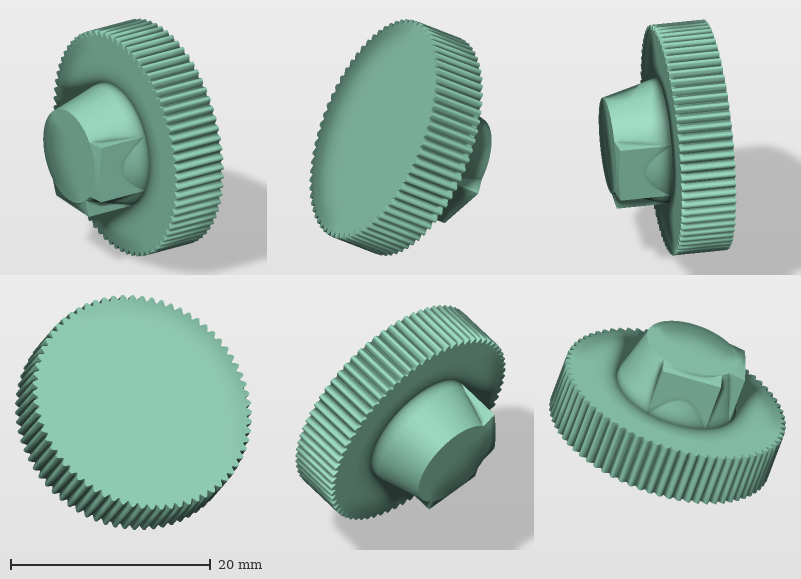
import cadquery as cq
import math

outer_radius = 11.6
root_radius = 11.06
disc_thickness = 5.5
tooth_count = 70
tooth_base_half_width = 0.45
tooth_tip_radius = 0.23

boss_length = disc_thickness
boss_base_radius = 6.33
boss_end_radius = 4.85
boss_hollow = 0.05

side_block_reach = 5.57
side_block_half_width = 3.0
lower_block_reach = 5.61
lower_block_half_width = 3.05
block_end_angle = math.radians(12)


def turned(x, y, angle):
    """Turn a point about the origin by an angle in radians."""
    return (
        x * math.cos(angle) - y * math.sin(angle),
        x * math.sin(angle) + y * math.cos(angle),
    )


def make_disc():
    """Disc whose rim carries straight-flanked teeth with round tips."""
    tip_centre = outer_radius - tooth_tip_radius
    base_height = math.sqrt(root_radius**2 - tooth_base_half_width**2)

    drop = tip_centre - base_height
    to_base = math.hypot(tooth_base_half_width, drop)
    touch_angle = math.acos(tooth_tip_radius / to_base) - math.atan2(drop, tooth_base_half_width)
    touch_x = tooth_tip_radius * math.cos(touch_angle)
    touch_y = tip_centre + tooth_tip_radius * math.sin(touch_angle)

    outline = cq.Workplane("XZ").moveTo(tooth_base_half_width, base_height)
    for tooth in range(tooth_count):
        angle = 2 * math.pi * tooth / tooth_count
        if tooth > 0:
            outline = outline.lineTo(*turned(tooth_base_half_width, base_height, angle))
        outline = outline.lineTo(*turned(touch_x, touch_y, angle))
        outline = outline.threePointArc(
            turned(0, outer_radius, angle), turned(-touch_x, touch_y, angle)
        )
        outline = outline.lineTo(*turned(-tooth_base_half_width, base_height, angle))
    return outline.close().extrude(-disc_thickness)


def make_boss():
    """Round boss with a slightly concave tapering wall."""
    middle_radius = (boss_base_radius + boss_end_radius) / 2 - boss_hollow
    return (
        cq.Workplane("XY")
        .lineTo(boss_base_radius, 0)
        .threePointArc((middle_radius, -boss_length / 2), (boss_end_radius, -boss_length))
        .lineTo(0, -boss_length)
        .close()
        .revolve(360, (0, 0), (0, 1))
    )


def make_side_block():
    """Block towards +X, its end a cone that starts at the rim of the boss end."""
    block = cq.Workplane("XZ").rect(side_block_reach, 2 * side_block_half_width)
    block = block.extrude(boss_length).translate((side_block_reach / 2, 0, 0))
    cone_drop = (boss_base_radius - boss_end_radius) * math.tan(block_end_angle)
    envelope = (
        cq.Workplane("XY")
        .lineTo(boss_base_radius, 0)
        .lineTo(boss_base_radius, cone_drop - boss_length)
        .lineTo(boss_end_radius, -boss_length)
        .lineTo(0, -boss_length)
        .close()
        .revolve(360, (0, 0), (0, 1))
    )
    return block.intersect(envelope)


def make_lower_block():
    """Block towards -Z, its end a plane that starts where its sides meet the boss rim."""
    slope_start = math.sqrt(boss_end_radius**2 - lower_block_half_width**2)
    end_drop = (lower_block_reach - slope_start) * math.tan(block_end_angle)
    return (
        cq.Workplane("YZ")
        .lineTo(-boss_length, 0)
        .lineTo(-boss_length, -slope_start)
        .lineTo(end_drop - boss_length, -lower_block_reach)
        .lineTo(0, -lower_block_reach)
        .close()
        .extrude(lower_block_half_width, both=True)
    )


result = make_disc().union(make_boss()).union(make_side_block()).union(make_lower_block())